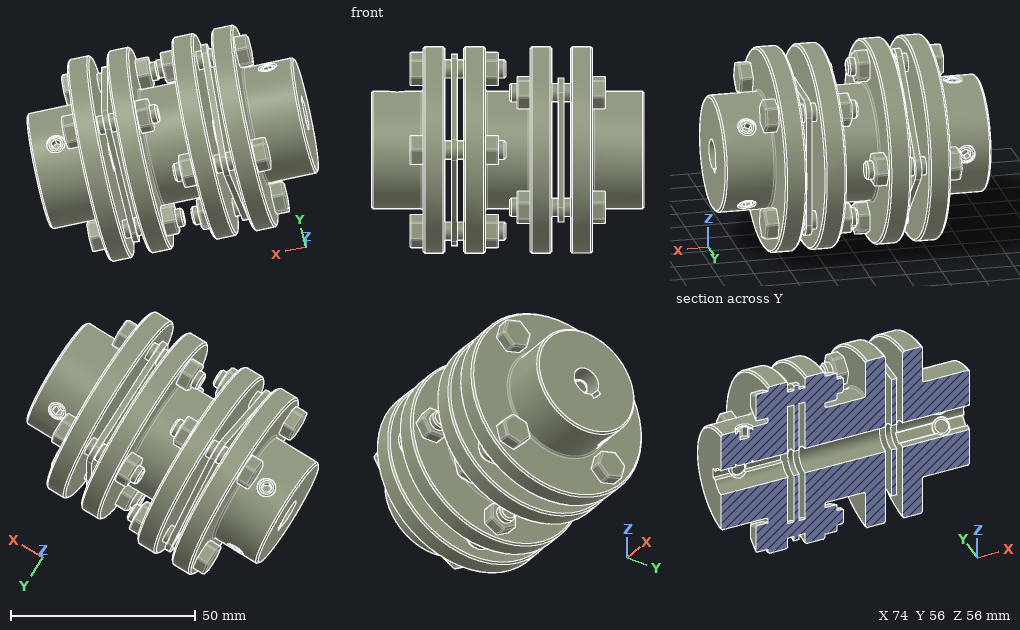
import cadquery as cq
import math


total_length = 74.0
spacer_length = 24.0
disc_gap = 5.0
flange_thickness = 6.0
disc_thickness = 1.6
hub_length = (total_length - spacer_length) / 2 - disc_gap

flange_radius = 56.0 / 2
hub_radius = 16.0
bore_radius = 4.0
edge_chamfer = 0.5
root_fillet = 0.5

key_width = 3.0
key_top = 5.0

bolt_count = 4
bolt_circle_radius = 22.0
bolt_diameter = 5.0
hex_across_flats = 8.0
hex_height = 3.55
hex_edge_fillet = 0.5
tip_length = 2.0
tip_chamfer = 0.5

disc_corner_radius = 4.0

screw_diameter = 5.0
screw_from_hub_end = 7.0
screw_recess = 0.3
screw_tip_clearance = 0.1
screw_chamfer = 0.6
socket_across_flats = 2.5
socket_depth = 2.95

far_end_turn = -180 / bolt_count

hub_end = -total_length / 2
hub_face = hub_end + hub_length
spacer_face = -spacer_length / 2


def cylinder_x(radius, start, length):
    return cq.Workplane("YZ", origin=(start, 0, 0)).circle(radius).extrude(length)


def hexagon_x(across_flats, start, length):
    """Hexagonal prism along X with two corners pointing along Z."""
    across_corners = across_flats / math.cos(math.pi / 6)
    return (
        cq.Workplane("YZ", origin=(start, 0, 0))
        .transformed(rotate=(0, 0, 90))
        .polygon(6, across_corners)
        .extrude(length)
    )


def flange(face):
    """Flange facing +X at the given station, with the fillet ring at its back that runs onto the hub."""
    back = face - flange_thickness
    return (
        cq.Workplane("XY")
        .moveTo(back - root_fillet, 0)
        .lineTo(back - root_fillet, hub_radius)
        .radiusArc((back, hub_radius + root_fillet), -root_fillet)
        .lineTo(back, flange_radius - edge_chamfer)
        .lineTo(back + edge_chamfer, flange_radius)
        .lineTo(face - edge_chamfer, flange_radius)
        .lineTo(face, flange_radius - edge_chamfer)
        .lineTo(face, 0)
        .close()
        .revolve(360, (0, 0, 0), (1, 0, 0))
    )


def bolt():
    """Bolt at the top of the bolt circle: head on the hub flange, nut and tip on the spacer flange."""
    head_start = hub_face - flange_thickness - hex_height
    nut_start = spacer_face + flange_thickness
    nut_end = nut_start + hex_height
    head = hexagon_x(hex_across_flats, head_start, hex_height)
    head = head.edges("|X or <X").fillet(hex_edge_fillet)
    nut = hexagon_x(hex_across_flats, nut_start, hex_height)
    nut = nut.edges("|X or >X").fillet(hex_edge_fillet)
    shank_start = head_start + hex_height / 2
    shank = cylinder_x(bolt_diameter / 2, shank_start, nut_end + tip_length - shank_start)
    shank = shank.faces(">X").chamfer(tip_chamfer)
    return head.union(shank).union(nut).translate((0, 0, bolt_circle_radius))


def disc_pack():
    side = 2 * (bolt_circle_radius / math.sqrt(2) + disc_corner_radius)
    start = (hub_face + spacer_face - disc_thickness) / 2
    plate = cq.Workplane("YZ", origin=(start, 0, 0)).rect(side, side).extrude(disc_thickness)
    plate = plate.edges("|X").fillet(disc_corner_radius)
    plate = plate.rotate((0, 0, 0), (1, 0, 0), 45)
    return plate.cut(cylinder_x(bore_radius, start, disc_thickness))


def upright_at_screw(height):
    return cq.Workplane("XY", origin=(hub_end + screw_from_hub_end, 0, height))


def set_screw_hole():
    return upright_at_screw(0).circle(screw_diameter / 2).extrude(hub_radius)


def set_screw():
    """Set screw along Z whose tip stops just short of the bore."""
    tip = bore_radius + screw_tip_clearance
    top = hub_radius - screw_recess
    screw = upright_at_screw(tip).circle(screw_diameter / 2).extrude(top - tip)
    screw = screw.faces("<Z or >Z").chamfer(screw_chamfer)
    across_corners = socket_across_flats / math.cos(math.pi / 6)
    socket = (
        upright_at_screw(top)
        .transformed(rotate=(0, 0, 90))
        .polygon(6, across_corners)
        .extrude(-socket_depth)
    )
    return screw.cut(socket)


def turned(body, angle):
    return body.rotate((0, 0, 0), (1, 0, 0), angle)


def bored_hub():
    """Shaft hub with its bore, keyway and two set screws: one on top, one over the keyway."""
    hub = cylinder_x(hub_radius, hub_end, hub_length)
    hub = hub.faces("<X").chamfer(edge_chamfer).union(flange(hub_face))
    keyway = cq.Workplane("XY").box(hub_length, key_top, key_width, centered=(False, False, True))
    hub = hub.cut(cylinder_x(bore_radius, hub_end, hub_length))
    hub = hub.cut(keyway.translate((hub_end, 0, 0)))
    for angle in (0, -90):
        hub = hub.cut(turned(set_screw_hole(), angle)).union(turned(set_screw(), angle))
    return hub


def spacer():
    """Middle spacer with a flange facing each disc pack."""
    right_flange = flange(-spacer_face)
    body = cylinder_x(hub_radius, spacer_face, spacer_length)
    body = body.union(right_flange).union(right_flange.mirror("YZ"))
    return body.cut(cylinder_x(bore_radius, spacer_face, spacer_length))


def end_assembly():
    """Shaft hub, disc pack and the bolts that tie them to the spacer."""
    assembly = bored_hub().union(disc_pack())
    for index in range(bolt_count):
        assembly = assembly.union(turned(bolt(), index * 360 / bolt_count))
    return assembly


near_end = end_assembly()
far_end = turned(near_end.mirror("YZ"), far_end_turn)
result = spacer().union(near_end).union(far_end)